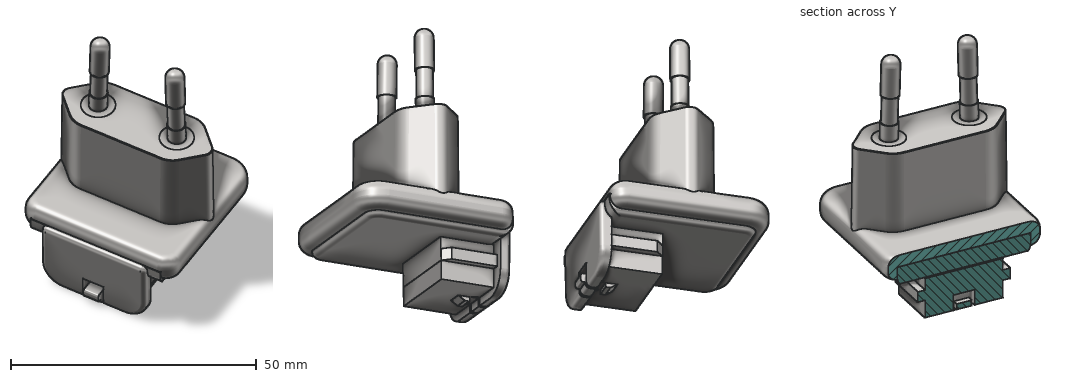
import cadquery as cq
import math


flange_width = 36.0
flange_back = 17.6
flange_front = -16.9
flange_thickness = 6.0
flange_edge_radius = 2.4
back_corner_radius = 5.5
front_corner_radius = 3.5

plug_height = 18.22
plug_root_depth = 3.0
plug_draft = 0.5
plug_half_depth = 7.0
plug_sharp_half_width = 18.5
plug_shoulder_radius = 5.0
plug_tip_radius = 2.0
plug_rim_chamfer = 0.15

pin_half_spacing = 9.25
pin_lean = 1.5
pin_root_depth = 8.0
pin_base_length = 3.7
pin_neck_length = 6.3
pin_length = 18.95
pin_base_radius = 1.92
pin_neck_radius = 1.75
pin_tip_radius = 2.0
collar_radius = 3.55
collar_depth = 10.0

lid_half_width = 15.3
lid_back = 15.0
lid_front = -17.0
lid_top = -2.95
lid_bottom = -7.2
lid_back_corner_radius = 3.0
lid_edge_radius = 1.4
lid_front_radius = 3.0

tab_half_width = 12.25
tab_back = -15.55
tab_front_top = -18.08
tab_front_bottom = -17.85
tab_bottom = -18.14
tab_corner_radius = 5.0
tab_top_corner_radius = 1.1
tab_edge_radius = 1.05

block_half_width = 9.0
block_back_top = -3.6
block_back_bottom = -3.8
block_top = -7.1
block_bottom = -16.35
rail_projection = 1.65
rail_top = -9.8
rail_bottom = -12.3

notch_half_width = 2.43
notch_top = -12.8
notch_back = -14.0
notch_corner_radius = 0.65
tongue_half_width = 1.75
tongue_top = -14.95
nub_front = -18.88
nub_height = 1.9
nub_edge_radius = 0.55
hook_start = -11.0
hook_crest = -12.5
hook_end = -13.55
hook_drop = 0.95


def box(x_range, y_range, z_range):
    """Axis-aligned box between the given pairs of limits."""
    sizes = [high - low for low, high in (x_range, y_range, z_range)]
    corner = (x_range[0], y_range[0], z_range[0])
    return cq.Workplane("XY").box(*sizes, centered=False).translate(corner)


def mirrored_box(half_width, y_range, z_range):
    """Box centred on X = 0."""
    return box((-half_width, half_width), y_range, z_range)


def side_profile(points, half_width):
    """Prism centred on X = 0 from an outline of (y, z) points."""
    return cq.Workplane("YZ").polyline(points).close().extrude(half_width, both=True)


def make_flange():
    flange = mirrored_box(flange_width / 2, (flange_front, flange_back), (-flange_thickness, 0))
    flange = flange.edges("|Z and >Y").fillet(back_corner_radius)
    flange = flange.edges("|Z and <Y").fillet(front_corner_radius)
    return flange.faces("<Z or >Z").edges().fillet(flange_edge_radius)


def make_plug_block():
    shoulder = plug_sharp_half_width - plug_half_depth
    outline = [
        (plug_sharp_half_width, 0),
        (shoulder, plug_half_depth),
        (-shoulder, plug_half_depth),
        (-plug_sharp_half_width, 0),
        (-shoulder, -plug_half_depth),
        (shoulder, -plug_half_depth),
    ]
    block = (
        cq.Workplane("XY", origin=(0, 0, -plug_root_depth))
        .polyline(outline)
        .close()
        .extrude(plug_height + plug_root_depth, taper=plug_draft)
    )
    block = block.edges("not (<Z or >Z or <X or >X)").fillet(plug_shoulder_radius)
    block = block.edges("<X or >X").fillet(plug_tip_radius)
    return block.faces(">Z").edges().chamfer(plug_rim_chamfer)


def make_housing():
    return make_flange().union(make_plug_block())


def make_pin(side):
    neck_start = pin_base_length
    neck_end = neck_start + pin_neck_length
    dome_start = pin_length - pin_tip_radius
    dome_mid = pin_tip_radius * math.sqrt(0.5)
    pin = (
        cq.Workplane("XZ")
        .moveTo(0, -pin_root_depth)
        .lineTo(pin_base_radius, -pin_root_depth)
        .lineTo(pin_base_radius, neck_start)
        .lineTo(pin_neck_radius, neck_start)
        .lineTo(pin_neck_radius, neck_end)
        .lineTo(pin_tip_radius, neck_end)
        .lineTo(pin_tip_radius, dome_start)
        .threePointArc((dome_mid, dome_start + dome_mid), (0, pin_length))
        .close()
        .revolve(360, (0, 0, 0), (0, 1, 0))
    )
    pin = pin.rotate((0, 0, 0), (0, 1, 0), -side * pin_lean)
    return pin.translate((side * pin_half_spacing, 0, plug_height))


def make_collar_blank(side):
    centre = (side * pin_half_spacing, 0, plug_height - collar_depth)
    return cq.Workplane("XY", origin=centre).circle(collar_radius).extrude(collar_depth)


def make_lid():
    lid = mirrored_box(lid_half_width, (lid_front, lid_back), (lid_bottom, lid_top))
    lid = lid.edges("|Z and >Y").fillet(lid_back_corner_radius)
    lid = lid.faces("<Z").edges("not <Y").fillet(lid_edge_radius)
    front_limit = mirrored_box(lid_half_width, (lid_front, lid_back), (lid_bottom, lid_top))
    return lid.intersect(front_limit.edges("<Z and <Y").fillet(lid_front_radius))


def make_tab():
    """Upright plate with a slightly leaning, round-edged front face."""
    tab = side_profile(
        [
            (tab_back, lid_top),
            (tab_front_top, lid_top),
            (tab_front_bottom, tab_bottom),
            (tab_back, tab_bottom),
        ],
        tab_half_width,
    )
    tab = tab.edges("|Y and <Z").fillet(tab_corner_radius)
    tab = tab.edges("|Y and >Z").fillet(tab_top_corner_radius)
    return tab.faces("<Y").edges().fillet(tab_edge_radius)


def make_insert_block():
    return side_profile(
        [
            (tab_back, block_top),
            (block_back_top, block_top),
            (block_back_bottom, block_bottom),
            (tab_back, block_bottom),
        ],
        block_half_width,
    )


def make_rails():
    """Slab through the block whose sides stand out as rails, with 45 degree lead-ins at the back."""
    half_width = block_half_width + rail_projection
    rail_back = (block_back_top + block_back_bottom) / 2
    slab = mirrored_box(half_width, (tab_back, rail_back), (rail_bottom, rail_top))
    return slab.edges("|Z and >Y").chamfer(rail_projection)


def make_latch_notch():
    """Cut around and above the tongue, which keeps the finish of the tab."""
    notch = mirrored_box(notch_half_width, (tab_front_top, notch_back), (tab_bottom, notch_top))
    notch = notch.edges("|Z and >Y").fillet(notch_corner_radius)
    return notch.cut(mirrored_box(tongue_half_width, (tab_front_top, notch_back), (tab_bottom, tongue_top)))


def make_nub():
    nub = mirrored_box(tongue_half_width, (nub_front, tab_back), (tongue_top - nub_height, tongue_top))
    return nub.edges("|X and <Y").fillet(nub_edge_radius)


def make_hook():
    hook_bottom = block_bottom - hook_drop
    return side_profile(
        [
            (hook_start, block_bottom),
            (hook_crest, hook_bottom),
            (hook_end, hook_bottom),
            (hook_end, block_bottom),
        ],
        tongue_half_width,
    )


def make_cover():
    cover = make_lid().union(make_tab()).union(make_insert_block()).union(make_rails())
    return cover.cut(make_latch_notch()).union(make_nub()).union(make_hook())


cover = make_cover()
housing = make_housing().cut(cover)
pins = []
collars = []
for side in (-1, 1):
    pin = make_pin(side)
    collar_blank = make_collar_blank(side)
    housing = housing.cut(collar_blank)
    pins.append(pin)
    collars.append(collar_blank.cut(pin))

result = cq.Compound.makeCompound(
    [housing.val(), cover.val()]
    + [collar.val() for collar in collars]
    + [pin.val() for pin in pins]
)